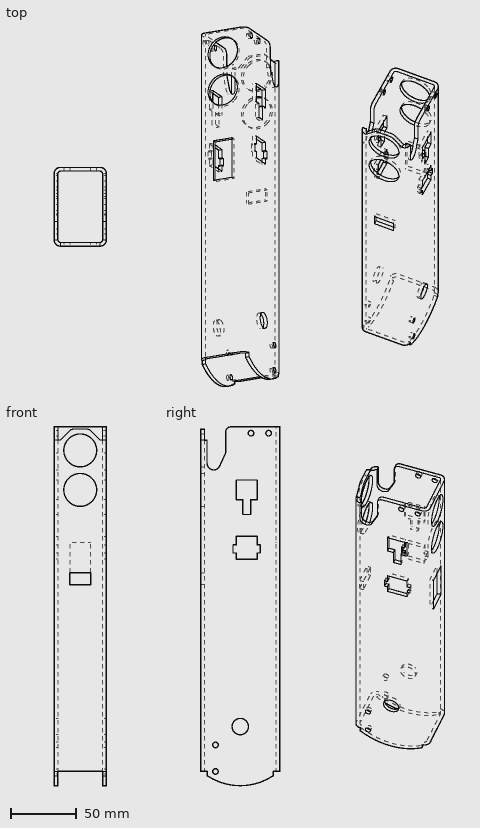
import cadquery as cq
import math

width = 40.0
depth = 60.0
height = 273.3
wall = 3.0
bend_radius = 5.0
flat_x = width / 2 - bend_radius
flat_y = depth / 2 - bend_radius

end_radius = 45.0
pivot_z = end_radius
pivot_diameter = 12.3
short_wall_z = 11.0

bend_top_z = 263.2
tab_top_z = 271.5
tab_corner_radius = 3.0

slot_back_y = -11.2
slot_taper_z = 253.5
slot_end_radius = 5.0
slot_bottom_z = 240.5
slot_mouth_radius = 4.0

port_diameter = 25.0
port_heights = (255.3, 225.2)
window_width = 15.9
window_bottom_z = 153.0
front_window_height = 9.0
back_window_height = 32.0

pin_diameter = 4.0
pin_positions = ((21.5, 268.5), (8.2, 268.5), (-18.9, 31.2), (-18.9, 11.0))
cutout_y = 5.0
cutout_width = 15.9
stem_width = 6.0
key_top_z = 232.5
key_shoulder_z = 217.9
key_bottom_z = 206.6
latch_top_z = 190.0
latch_bottom_z = 172.5
ear_span = 20.5
ear_height = 6.0
ear_z = 180.5


def through_sides(sketch):
    """Extrude a YZ profile through both side walls."""
    return sketch.extrude(width, both=True)


def side_rectangle(y_center, y_size, z_low, z_high):
    sketch = cq.Workplane("YZ").center(y_center, (z_low + z_high) / 2).rect(y_size, z_high - z_low)
    return through_sides(sketch)


def make_tube():
    outer = cq.Workplane("XY").rect(width, depth).extrude(height).edges("|Z").fillet(bend_radius)
    inner = cq.Workplane("XY").rect(width - 2 * wall, depth - 2 * wall).extrude(height)
    return outer.cut(inner.edges("|Z").fillet(bend_radius - wall))


def make_lower_envelope():
    """Region kept at the lower end: short front and back, arc-ended sides."""
    arc_edge_z = pivot_z - math.sqrt(end_radius**2 - flat_y**2)
    sketch = (
        cq.Workplane("YZ")
        .moveTo(-flat_y, arc_edge_z)
        .threePointArc((0, 0), (flat_y, arc_edge_z))
        .lineTo(flat_y, short_wall_z)
        .lineTo(depth / 2, short_wall_z)
        .lineTo(depth / 2, height)
        .lineTo(-depth / 2, height)
        .lineTo(-depth / 2, short_wall_z)
        .lineTo(-flat_y, short_wall_z)
        .close()
    )
    return through_sides(sketch)


def make_side_slot():
    """Tapered slot with a round bottom, open at the top, with a rounded back corner."""
    center_y = slot_end_radius - flat_y
    center_z = slot_bottom_z + slot_end_radius
    offset_y = slot_back_y - center_y
    offset_z = slot_taper_z - center_z
    distance = math.hypot(offset_y, offset_z)
    tangent_angle = math.atan2(offset_z, offset_y) - math.acos(slot_end_radius / distance)
    tangent_y = center_y + slot_end_radius * math.cos(tangent_angle)
    tangent_z = center_z + slot_end_radius * math.sin(tangent_angle)
    mouth_mid = slot_mouth_radius * (1 - math.sqrt(0.5))
    sketch = (
        cq.Workplane("YZ")
        .moveTo(slot_back_y + slot_mouth_radius, height)
        .threePointArc(
            (slot_back_y + mouth_mid, height - mouth_mid),
            (slot_back_y, height - slot_mouth_radius),
        )
        .lineTo(slot_back_y, slot_taper_z)
        .lineTo(tangent_y, tangent_z)
        .threePointArc((center_y, slot_bottom_z), (-flat_y, center_z))
        .lineTo(-flat_y, height)
        .close()
    )
    return through_sides(sketch)


def make_front_top_cut():
    """Material removed around the chamfered tab at the top of the front wall."""
    front_depth = depth / 2 - flat_y
    block = (
        cq.Workplane("XY")
        .box(width, front_depth, height - bend_top_z, centered=(True, False, False))
        .translate((0, -depth / 2, bend_top_z))
    )
    tab_height = tab_top_z - bend_top_z
    tab = (
        cq.Workplane("XZ", origin=(0, -flat_y, 0))
        .moveTo(-flat_x, bend_top_z)
        .lineTo(tab_height - flat_x, tab_top_z)
        .lineTo(flat_x - tab_height, tab_top_z)
        .lineTo(flat_x, bend_top_z)
        .close()
        .extrude(front_depth)
        .faces(">Z")
        .edges("|Y")
        .fillet(tab_corner_radius)
    )
    return block.cut(tab)


def make_window(window_height):
    """Block for cutting one wall, standing on its bottom face."""
    return cq.Workplane("XY").box(window_width, 4 * wall, window_height, centered=(True, True, False))


def make_front_openings():
    """Round ports through the front and back walls, with a low front window and a tall back one."""
    ports = (
        cq.Workplane("XZ")
        .pushPoints([(0, z) for z in port_heights])
        .circle(port_diameter / 2)
        .extrude(depth, both=True)
    )
    front_window = make_window(front_window_height).translate((0, -depth / 2, window_bottom_z))
    back_window = make_window(back_window_height).translate((0, depth / 2, window_bottom_z))
    return ports.union(front_window).union(back_window)


def make_side_openings():
    """Pin holes, pivot hole, key-shaped cutout and eared latch cutout."""
    pins = through_sides(cq.Workplane("YZ").pushPoints(pin_positions).circle(pin_diameter / 2))
    pivot = through_sides(cq.Workplane("YZ").center(0, pivot_z).circle(pivot_diameter / 2))
    key_head = side_rectangle(cutout_y, cutout_width, key_shoulder_z, key_top_z)
    key_stem = side_rectangle(cutout_y, stem_width, key_bottom_z, key_top_z)
    latch = side_rectangle(cutout_y, cutout_width, latch_bottom_z, latch_top_z)
    ears = side_rectangle(cutout_y, ear_span, ear_z - ear_height / 2, ear_z + ear_height / 2)
    return pins.union(pivot).union(key_head).union(key_stem).union(latch).union(ears)


result = (
    make_tube()
    .intersect(make_lower_envelope())
    .cut(make_side_slot())
    .cut(make_front_top_cut())
    .cut(make_front_openings())
    .cut(make_side_openings())
)